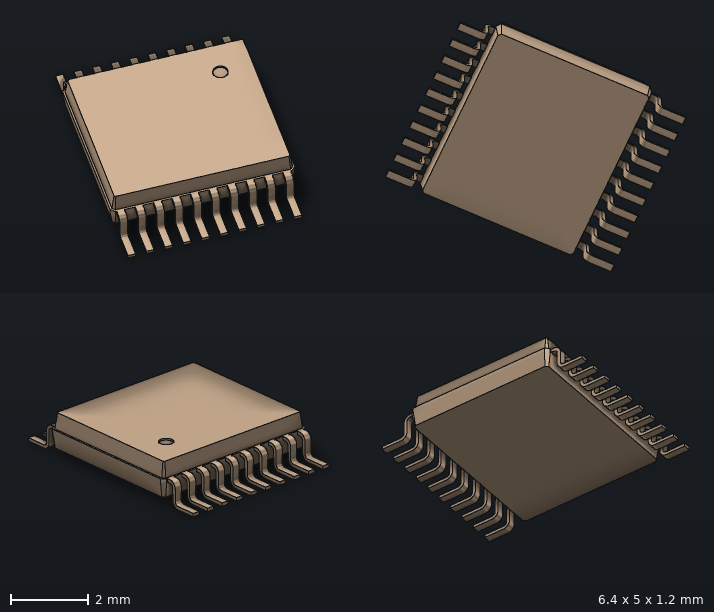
import cadquery as cq
import math

lead_span = 6.4
body_width = 4.415
body_length = 5.0
overall_height = 1.2
standoff = 0.205

lead_count = 10
lead_pitch = 0.5
lead_width = 0.21
lead_thickness = 0.1
bend_inner_radius = 0.1
bend_outer_radius = bend_inner_radius + lead_thickness
shank_outer_x = 2.5
lead_embed = 0.255

draft_angle = 8.5
corner_chamfer = 0.11
parting_step = 0.06
parting_z = (standoff + overall_height) / 2
band_bottom = parting_z - lead_thickness / 2
band_top = parting_z + lead_thickness / 2

dimple_diameter = 0.4
dimple_depth = 0.05
dimple_x = -1.18
dimple_y = 1.485


def body_block(inset, base_z, height, taper):
    """Drafted box with chamfered corners, set in from the band and grown from base_z.

    Setting the eight-sided outline in evenly also shortens its corner chamfers.
    """
    chamfer = corner_chamfer - inset * (2 - math.sqrt(2))
    outline = (
        cq.Sketch()
        .rect(body_width - 2 * inset, body_length - 2 * inset)
        .vertices()
        .chamfer(chamfer)
    )
    return cq.Workplane("XY", origin=(0, 0, base_z)).placeSketch(outline).extrude(height, taper=taper)


def make_body():
    """Straight parting band between a drafted lower half and a stepped-in drafted upper half."""
    band = body_block(0, band_bottom, lead_thickness, 0)
    lower = body_block(0, band_bottom, standoff - band_bottom, draft_angle)
    upper = body_block(parting_step, band_top, overall_height - band_top, draft_angle)
    dimple = (
        cq.Workplane("XY", origin=(dimple_x, dimple_y, overall_height))
        .circle(dimple_diameter / 2)
        .extrude(-dimple_depth)
    )
    return band.union(lower).union(upper).cut(dimple)


def make_lead():
    """Gull-wing lead on the +X side, centred on Y = 0."""
    tip_x = lead_span / 2
    root_x = body_width / 2 - lead_embed
    shank_inner_x = shank_outer_x - lead_thickness
    shoulder_x = shank_outer_x - bend_outer_radius
    foot_x = shank_inner_x + bend_outer_radius
    shoulder_z = band_top - bend_outer_radius
    heel_z = bend_outer_radius
    diagonal = math.sqrt(0.5)
    outer_sag = bend_outer_radius * diagonal
    inner_sag = bend_inner_radius * diagonal

    profile = (
        cq.Workplane("XZ")
        .moveTo(root_x, band_top)
        .lineTo(shoulder_x, band_top)
        .threePointArc((shoulder_x + outer_sag, shoulder_z + outer_sag), (shank_outer_x, shoulder_z))
        .lineTo(shank_outer_x, heel_z)
        .threePointArc((foot_x - inner_sag, heel_z - inner_sag), (foot_x, lead_thickness))
        .lineTo(tip_x, lead_thickness)
        .lineTo(tip_x, 0)
        .lineTo(foot_x, 0)
        .threePointArc((foot_x - outer_sag, heel_z - outer_sag), (shank_inner_x, heel_z))
        .lineTo(shank_inner_x, shoulder_z)
        .threePointArc((shoulder_x + inner_sag, shoulder_z + inner_sag), (shoulder_x, band_bottom))
        .lineTo(root_x, band_bottom)
        .close()
    )
    return profile.extrude(lead_width / 2, both=True)


result = make_body()
right_lead = make_lead()
left_lead = right_lead.mirror("YZ")
for index in range(lead_count):
    lead_y = (index - (lead_count - 1) / 2) * lead_pitch
    result = result.union(right_lead.translate((0, lead_y, 0)))
    result = result.union(left_lead.translate((0, lead_y, 0)))